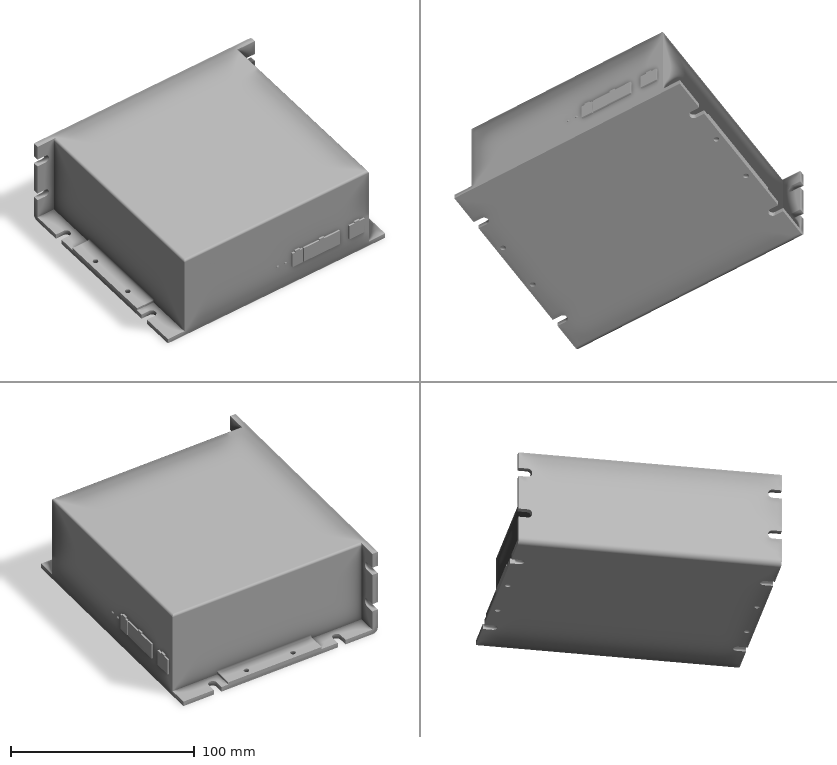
import cadquery as cq

base_length = 125.0
width = 146.0
height = 55.0
base_thickness = 3.0
upright_thickness = 3.5
bend_radius = 3.0

box_width = 124.0
box_length = base_length - upright_thickness
box_edge_radius = 1.3

slot_diameter = 5.0
slot_depth = 7.6
base_slot_x = (23.2, 103.0)
upright_slot_z = (18.1, 43.0)

pad_length = 60.0
pad_center_x = 66.1
pad_top_z = 4.5
pad_fillet_radius = 1.0
pad_hole_diameter = 3.0
pad_hole_spacing = 30.0
pad_hole_center_x = 67.0
pad_hole_edge_distance = 4.0

connectors = ((53.3, 10.4), (29.6, 24.2), (13.5, 6.9))
connector_protrusion = 1.0
connector_bottom_z = 12.7
connector_height = 10.0
key_width = 3.2
key_height = 1.0

lamp_y = (6.0, 0.7)
lamp_z = 17.2
lamp_diameter = 1.5
lamp_protrusion = 0.6


def block(x_start, x_length, y_center, y_width, z_start, z_height):
    """Box placed by its low X, its middle Y and its low Z."""
    return (
        cq.Workplane("XY")
        .box(x_length, y_width, z_height, centered=(False, True, False))
        .translate((x_start, y_center, z_start))
    )


def make_bracket():
    base = block(0, base_length, 0, width, 0, base_thickness)
    upright = block(0, upright_thickness, 0, width, 0, height)
    return base.union(upright).edges("<X and <Z").fillet(bend_radius)


def make_box():
    box = block(upright_thickness, box_length, 0, box_width, base_thickness, height - base_thickness)
    return box.faces(">Z").edges(">X or >Y or <Y").fillet(box_edge_radius)


def make_pad(side):
    """Raised pad that curves up into the box wall; side is -1 or 1 along Y."""
    wall_y = side * box_width / 2
    outer_y = side * width / 2
    radius = pad_fillet_radius
    return (
        cq.Workplane("YZ")
        .moveTo(wall_y, 0)
        .lineTo(outer_y, 0)
        .lineTo(outer_y, pad_top_z)
        .lineTo(wall_y + side * radius, pad_top_z)
        .radiusArc((wall_y, pad_top_z + radius), side * radius)
        .close()
        .extrude(pad_length)
        .translate((pad_center_x - pad_length / 2, 0, 0))
    )


def cut_base_slots(part):
    centers = [(x, side * width / 2) for x in base_slot_x for side in (-1, 1)]
    cutter = (
        cq.Workplane("XY")
        .pushPoints(centers)
        .slot2D(2 * slot_depth, slot_diameter, angle=90)
        .extrude(base_thickness)
    )
    return part.cut(cutter)


def cut_upright_slots(part):
    centers = [(side * width / 2, z) for z in upright_slot_z for side in (-1, 1)]
    cutter = (
        cq.Workplane("YZ")
        .pushPoints(centers)
        .slot2D(2 * slot_depth, slot_diameter)
        .extrude(upright_thickness)
    )
    return part.cut(cutter)


def cut_pad_holes(part):
    hole_y = width / 2 - pad_hole_edge_distance
    centers = [
        (pad_hole_center_x + end * pad_hole_spacing / 2, side * hole_y)
        for end in (-1, 1)
        for side in (-1, 1)
    ]
    cutter = cq.Workplane("XY").pushPoints(centers).circle(pad_hole_diameter / 2).extrude(pad_top_z)
    return part.cut(cutter)


def make_connector(y_center, connector_width):
    """Flat connector with a narrow key standing on top of it."""
    bottom_z = connector_bottom_z
    keyed_height = connector_height + key_height
    body = block(base_length, connector_protrusion, y_center, connector_width, bottom_z, connector_height)
    key = block(base_length, connector_protrusion, y_center, key_width, bottom_z, keyed_height)
    return body.union(key)


def make_lamps():
    return (
        cq.Workplane("YZ", origin=(base_length, 0, 0))
        .pushPoints([(y, lamp_z) for y in lamp_y])
        .circle(lamp_diameter / 2)
        .extrude(lamp_protrusion)
    )


result = make_bracket().union(make_box())
for side in (-1, 1):
    result = result.union(make_pad(side))
result = cut_base_slots(result)
result = cut_upright_slots(result)
result = cut_pad_holes(result)
for y_center, connector_width in connectors:
    result = result.union(make_connector(y_center, connector_width))
result = result.union(make_lamps())